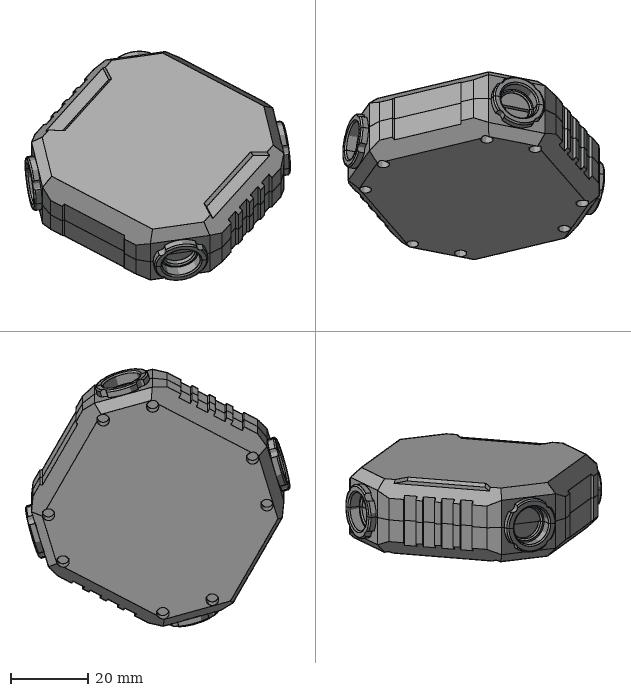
import cadquery as cq
import math

outer_half_width = 29.5
half_height = 9.85
octagon_half_width = 28.05
corner_distance = 31.8
chamfer_angle = 45
edge_chamfer = 2.6
rear_bottom_chamfer = 1.0
flank_angle = 22.5

octagon_corner = corner_distance * math.sqrt(2) - octagon_half_width
flank_run = (outer_half_width - octagon_half_width) / math.tan(math.radians(flank_angle))
raised_half_length = octagon_corner - flank_run

chamfer_start = half_height - edge_chamfer
side_reach = octagon_half_width + chamfer_start
corner_reach = corner_distance + chamfer_start
rear_bottom_reach = outer_half_width + half_height - rear_bottom_chamfer

front_recess_width = 19.5
front_recess_floor_width = 18.95
front_recess_depth = 0.6

slot_count = 4
slot_width = 3.3
slot_span = 15.35
slot_pitch = slot_span / (slot_count - 1)
slot_depth = 0.9

pocket_depth = 0.8
pocket_inner_x = 21.9
pocket_inner_half_length = 10.6
pocket_edge_half_length = 13.0
pocket_overrun = 1.75
top_edge_x = octagon_half_width - edge_chamfer

port_angles = (45, 135, 225, 315)
collar_radius = 7.1
collar_height = 1.95
collar_chamfer = 0.4
notch_radius = 1.65
notch_depth = 0.65
notch_count = 4
notch_start_angle = 45
bore_radius = 5.0
bore_depth = 3.05
inner_bore_radius = 4.2
bore_chamfer = 0.4
upper_port_depth = 3.6
lower_port_depth = 4.65
collar_end = corner_distance + collar_height

screw_radius = 1.6
screw_depth = 2.95
screw_near = 14.75
screw_far = 24.2


def case_outline():
    """Sixteen-sided plan outline with a raised stretch on each long side."""
    side = [
        (octagon_half_width, -octagon_corner),
        (outer_half_width, -raised_half_length),
        (outer_half_width, raised_half_length),
        (octagon_half_width, octagon_corner),
    ]
    points = []
    for quarter in range(4):
        for x, y in side:
            for _ in range(quarter):
                x, y = -y, x
            points.append((x, y))
    return points


def case_half(rear_reach):
    """One half above Z = 0, trimmed by chamfer planes that lean in at 45 degrees."""
    corner_sum = corner_reach * math.sqrt(2)
    side_end = corner_sum - side_reach
    rear_end = corner_sum - rear_reach
    envelope_points = [
        (side_reach, -side_end),
        (side_reach, side_end),
        (rear_end, rear_reach),
        (-rear_end, rear_reach),
        (-side_reach, side_end),
        (-side_reach, -side_end),
        (-side_end, -side_reach),
        (side_end, -side_reach),
    ]
    walls = cq.Workplane("XY").polyline(case_outline()).close().extrude(half_height)
    envelope = cq.Workplane("XY").polyline(envelope_points).close().extrude(half_height, taper=chamfer_angle)
    return walls.intersect(envelope)


def front_recess():
    """Shallow recess over the full height of the -Y side, with sloping ends."""
    floor_y = front_recess_depth - outer_half_width
    points = [
        (-front_recess_width / 2, -outer_half_width),
        (front_recess_width / 2, -outer_half_width),
        (front_recess_floor_width / 2, floor_y),
        (-front_recess_floor_width / 2, floor_y),
    ]
    return cq.Workplane("XY").polyline(points).close().extrude(half_height, both=True)


def grip_slots():
    """Evenly spaced full-height slots on the -X and +X sides."""
    places = []
    for x in (-outer_half_width, outer_half_width):
        for index in range(slot_count):
            places.append((x, (index - (slot_count - 1) / 2) * slot_pitch))
    return cq.Workplane("XY").pushPoints(places).box(2 * slot_depth, slot_width, 2 * half_height)


def top_pocket():
    """Trapezoidal pocket on the +X top edge, sliding outward as it goes down."""
    widening = (pocket_edge_half_length - pocket_inner_half_length) / (top_edge_x - pocket_inner_x)
    outer_half_length = pocket_edge_half_length + widening * pocket_overrun
    outer_x = top_edge_x + pocket_overrun
    points = [
        (pocket_inner_x, -pocket_inner_half_length),
        (outer_x, -outer_half_length),
        (outer_x, outer_half_length),
        (pocket_inner_x, pocket_inner_half_length),
    ]
    floor_points = [(x + pocket_depth, y) for x, y in points]
    return (
        cq.Workplane("XY", origin=(0, 0, half_height - pocket_depth))
        .polyline(floor_points)
        .close()
        .workplane(offset=pocket_depth)
        .polyline(points)
        .close()
        .loft(ruled=True)
    )


def collar():
    """Notched ring on the +X axis, standing out from the corner face."""
    ring = (
        cq.Workplane("YZ", origin=(corner_distance, 0, 0))
        .circle(collar_radius)
        .extrude(collar_height)
        .faces(">X")
        .chamfer(collar_chamfer)
    )
    notches = (
        cq.Workplane("YZ", origin=(corner_distance, 0, 0))
        .polarArray(collar_radius - notch_depth + notch_radius, notch_start_angle, 360, notch_count)
        .circle(notch_radius)
        .extrude(collar_height)
    )
    return ring.cut(notches)


def port_bore(depth):
    """Stepped blind bore on the +X axis, with a chamfer at the mouth and at the step."""
    mouth_x = collar_end
    step_x = collar_end - bore_depth
    profile = [
        (collar_end - depth, 0),
        (collar_end - depth, inner_bore_radius),
        (step_x - bore_chamfer, inner_bore_radius),
        (step_x, inner_bore_radius + bore_chamfer),
        (step_x, bore_radius),
        (mouth_x - bore_chamfer, bore_radius),
        (mouth_x, bore_radius + bore_chamfer),
        (mouth_x, 0),
    ]
    return cq.Workplane("XY").polyline(profile).close().revolve(360, (0, 0), (1, 0))


def add_ports(half, side, depth):
    """Add the four ports to a half; side is 1 above Z = 0 and -1 below it."""
    size = 2 * collar_end
    keep = cq.Workplane("XY").box(size, size, size).translate((0, 0, side * size / 2))
    half_collar = collar().intersect(keep)
    half_bore = port_bore(depth).intersect(keep)
    for angle in port_angles:
        half = half.union(half_collar.rotate((0, 0, 0), (0, 0, 1), angle))
        half = half.cut(half_bore.rotate((0, 0, 0), (0, 0, 1), angle))
    return half


def screw_pockets():
    """Eight blind holes rising from the bottom face, cutting into its chamfered edge."""
    places = []
    for x_side in (-1, 1):
        for y_side in (-1, 1):
            places.append((x_side * screw_near, y_side * screw_far))
            places.append((x_side * screw_far, y_side * screw_near))
    return (
        cq.Workplane("XY", origin=(0, 0, -half_height))
        .pushPoints(places)
        .circle(screw_radius)
        .extrude(screw_depth)
    )


def upper_case():
    half = case_half(side_reach).cut(front_recess()).cut(grip_slots())
    pocket = top_pocket()
    half = half.cut(pocket).cut(pocket.mirror("YZ"))
    return add_ports(half, 1, upper_port_depth)


def lower_case():
    half = case_half(rear_bottom_reach).mirror("XY").cut(front_recess()).cut(grip_slots())
    half = half.cut(screw_pockets())
    return add_ports(half, -1, lower_port_depth)


upper = upper_case()
lower = lower_case()

result = cq.Compound.makeCompound([upper.solids().val(), lower.solids().val()])